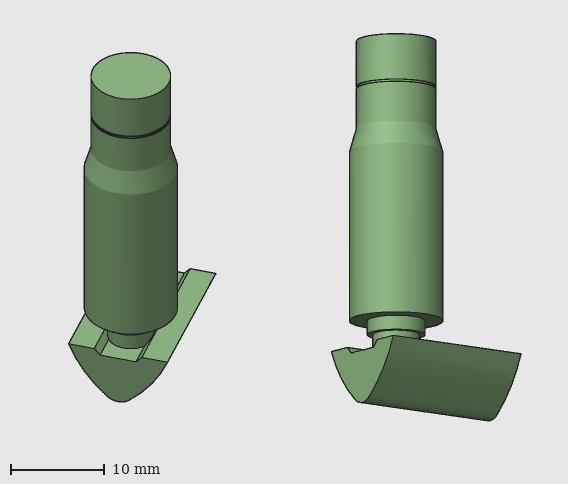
import cadquery as cq

body_diameter = 10.0
head_diameter = 8.5
groove_depth = 0.1
collar_diameter = 6.15
neck_diameter = 5.0

total_height = 39.8
groove_top = 34.85
groove_bottom = 34.63
taper_top = 30.3
taper_bottom = 27.75
body_bottom = 9.4
collar_bottom = 7.9

foot_width = 11.1
foot_top = 6.4
foot_front = -4.5
foot_length = 17.0
flank_radius = 15.0
tip_half_width = 1.3
tip_height = 0.5

channel_top_width = 5.35
channel_floor_width = 4.0
channel_floor = 5.7


def make_pin():
    """Revolve the stepped pin, from the channel floor to the top face."""
    body_radius = body_diameter / 2
    head_radius = head_diameter / 2
    groove_radius = head_radius - groove_depth
    collar_radius = collar_diameter / 2
    neck_radius = neck_diameter / 2
    half_profile = [
        (0, channel_floor),
        (neck_radius, channel_floor),
        (neck_radius, collar_bottom),
        (collar_radius, collar_bottom),
        (collar_radius, body_bottom),
        (body_radius, body_bottom),
        (body_radius, taper_bottom),
        (head_radius, taper_top),
        (head_radius, groove_bottom),
        (groove_radius, groove_bottom),
        (groove_radius, groove_top),
        (head_radius, groove_top),
        (head_radius, total_height),
        (0, total_height),
    ]
    return cq.Workplane("XZ").polyline(half_profile).close().revolve(360, (0, 0), (0, 1))


def make_foot():
    """Extrude the foot section: channelled top, bulging flanks and a rounded tip."""
    half_width = foot_width / 2
    section = (
        cq.Workplane("XZ", origin=(0, foot_front, 0))
        .moveTo(-half_width, foot_top)
        .lineTo(-channel_top_width / 2, foot_top)
        .lineTo(-channel_floor_width / 2, channel_floor)
        .lineTo(channel_floor_width / 2, channel_floor)
        .lineTo(channel_top_width / 2, foot_top)
        .lineTo(half_width, foot_top)
        .radiusArc((tip_half_width, tip_height), flank_radius)
        .threePointArc((0, 0), (-tip_half_width, tip_height))
        .radiusArc((-half_width, foot_top), flank_radius)
        .close()
    )
    return section.extrude(-foot_length)


result = make_pin().union(make_foot())